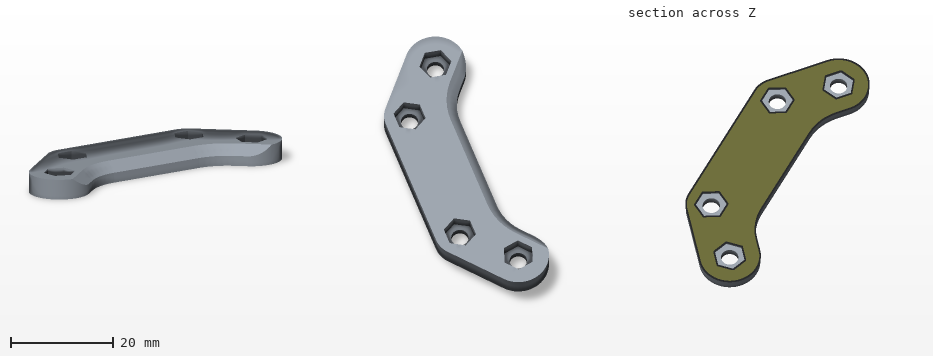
import cadquery as cq
import math

thickness = 4.0
overall_length = 57.0
end_radius = 6.0
shoulder_radius = 5.0
arm_spacing = 12.5
arm_lean = math.radians(45)

inner_wall_x = 14.2
inner_bend_radius = 10.0
bevel = 2.0

hole_diameter = 3.4
nut_across_flats = 5.5
nut_pocket_depth = 2.5

end_y = overall_length / 2 - end_radius
shoulder_x = shoulder_radius
shoulder_y = end_y - arm_spacing * math.sin(arm_lean)
end_x = shoulder_x + arm_spacing * math.cos(arm_lean)

arm_tilt = arm_lean - math.asin((end_radius - shoulder_radius) / arm_spacing)
along_x, along_y = math.sin(arm_tilt), math.cos(arm_tilt)
normal_x, normal_y = math.cos(arm_tilt), -math.sin(arm_tilt)


def inner_edge(setback):
    """Bend start, middle, end and a far point of the hollow-side edge, moved back by setback."""
    wall_x = inner_wall_x - setback
    radius = inner_bend_radius + setback
    tangent_x = end_x + normal_x * (end_radius - setback)
    tangent_y = end_y + normal_y * (end_radius - setback)
    centre_x = wall_x + radius
    travel = (centre_x - tangent_x - radius * normal_x) / along_x
    bend_end = (tangent_x + along_x * travel, tangent_y + along_y * travel)
    centre_y = bend_end[1] + radius * normal_y
    half_tilt = arm_tilt / 2
    bend_middle = (centre_x - radius * math.cos(half_tilt), centre_y + radius * math.sin(half_tilt))
    reach = 2 * end_radius
    far_point = (tangent_x + along_x * reach, tangent_y + along_y * reach)
    return (wall_x, centre_y), bend_middle, bend_end, far_point


def mirrored(point):
    return (point[0], -point[1])


def make_plate():
    """Plate with straight side walls; its hollow side still has no bevel."""
    half_tilt = arm_tilt / 2
    start = (0, shoulder_y)
    shoulder_middle = (
        shoulder_x - shoulder_radius * math.cos(half_tilt),
        shoulder_y + shoulder_radius * math.sin(half_tilt),
    )
    shoulder_end = (shoulder_x - shoulder_radius * normal_x, shoulder_y - shoulder_radius * normal_y)
    tip_start = (end_x - end_radius * normal_x, end_y - end_radius * normal_y)
    tip_middle = (end_x + end_radius * along_x, end_y + end_radius * along_y)
    tip_end = (end_x + end_radius * normal_x, end_y + end_radius * normal_y)
    bend_start, bend_middle, bend_end, _ = inner_edge(0)
    return (
        cq.Workplane("XY")
        .moveTo(*start)
        .threePointArc(shoulder_middle, shoulder_end)
        .lineTo(*tip_start)
        .threePointArc(tip_middle, tip_end)
        .lineTo(*bend_end)
        .threePointArc(bend_middle, bend_start)
        .lineTo(*mirrored(bend_start))
        .threePointArc(mirrored(bend_middle), mirrored(bend_end))
        .lineTo(*mirrored(tip_end))
        .threePointArc(mirrored(tip_middle), mirrored(tip_start))
        .lineTo(*mirrored(shoulder_end))
        .threePointArc(mirrored(shoulder_middle), mirrored(start))
        .close()
        .extrude(thickness)
    )


def hollow_outline(workplane, setback):
    """Closed outline of the hollow beside the inner wall."""
    bend_start, bend_middle, bend_end, far_point = inner_edge(setback)
    return (
        workplane.moveTo(*bend_start)
        .threePointArc(bend_middle, bend_end)
        .lineTo(*far_point)
        .lineTo(*mirrored(far_point))
        .lineTo(*mirrored(bend_end))
        .threePointArc(mirrored(bend_middle), mirrored(bend_start))
        .close()
    )


def make_bevel_cutter():
    """Cutter that widens upward, leaving a sloped band along the inner wall and arms."""
    lower = hollow_outline(cq.Workplane("XY", origin=(0, 0, thickness - bevel)), 0)
    both = hollow_outline(lower.workplane(offset=bevel), bevel)
    return both.loft(ruled=True, combine=True)


def make_screw_hole(x, y, flat_angle):
    """Through hole with a nut pocket in the top face, one hexagon flat facing flat_angle."""
    hole = cq.Workplane("XY").circle(hole_diameter / 2).extrude(thickness)
    pocket = (
        cq.Workplane("XY", origin=(0, 0, thickness))
        .polygon(6, nut_across_flats, circumscribed=True)
        .extrude(-nut_pocket_depth)
    )
    cutter = hole.union(pocket).rotate((0, 0, 0), (0, 0, 1), math.degrees(flat_angle))
    return cutter.translate((x, y, 0))


result = make_plate().cut(make_bevel_cutter())

for side in (1, -1):
    result = result.cut(make_screw_hole(shoulder_x, side * shoulder_y, 0))
    result = result.cut(make_screw_hole(end_x, side * end_y, -side * arm_tilt))